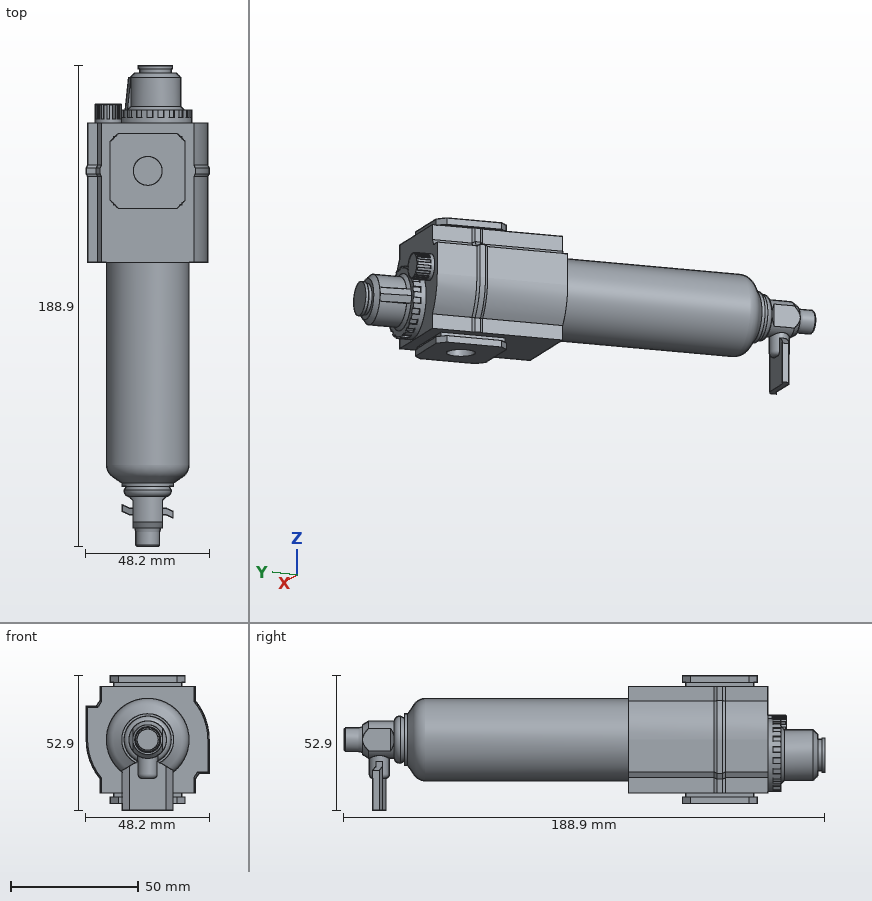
import cadquery as cq
import math


HOUSING_BACK = 18.9
HOUSING_FRONT = -35.9
CORE_HALF_WIDTH = 18.1
CORE_HALF_HEIGHT = 21.0
WING_REACH = 23.6
WING_EDGE = 12.7
WING_SLOPE_WIDTH = 1.5
WING_SLOPE_HEIGHT = 2.3

RIB_HEIGHT = 0.5
RIB_BASE_HALF_WIDTH = 2.3
RIB_TOP_HALF_WIDTH = 1.1

FLANGE_SIDE = 29.5
FLANGE_CORNER = 3.2
FLANGE_FACE = 25.1
FLANGE_THICKNESS = 2.6
FLANGE_NECK_SIDE = 26.8
PORT_RADIUS = 5.7
PORT_DEPTH = 15.1

BOWL_RADIUS = 16.2
BOWL_SHOULDER = -115.6
BOWL_ROUND_MIDDLE = (15.5, -118.2)
BOWL_ROUND_END = -120.3
BOWL_ROUND_END_RADIUS = 13.5
COLLAR_RADIUS = 10.2
COLLAR_BACK = -122.5
COLLAR_FRONT = -123.9
RING_EDGE_RADIUS = 8.5
RING_RADIUS = 9.3
RING_MIDDLE = -125.5
RING_ROUND = (8.9, -127.0)
RING_FRONT = -127.9
VALVE_RADIUS = 7.4
VALVE_FLAT_HALF_WIDTH = 5.9
VALVE_FRONT = -140.3
VALVE_CHAMFER = 1.5
VALVE_CHAMFER_LENGTH = 2.5
NOZZLE_ROOT_RADIUS = 5.1
NOZZLE_RADIUS = 4.7
NOZZLE_ROOT_LENGTH = 1.5
NOZZLE_TIP = -147.5
NOZZLE_CHAMFER = 0.5

LEVER_Y = -133.7
LEVER_BOTTOM = -27.8
LEVER_HALF_WIDTH = 10.0
LEVER_BEND = 7.2
LEVER_OFFSET = 1.3
LEVER_THICKNESS = 2.6
LEVER_SHOULDER = -12.0
LEVER_TOP = -8.5
PIN_RADIUS = 4.0
PIN_BOTTOM = -15.3
PIN_ROUNDING = 1.7
PIN_TOP = -2.8

DOME_X = 3.0
DOME_Z = -6.0
DOME_BASE_RADIUS = 14.4
KNURL_BACK = 24.0
KNURL_FRONT = 21.0
DOME_FLARE_RADIUS = 11.3
DOME_FLARE_END = 25.3
DOME_RADIUS = 10.0
DOME_SHOULDER = 36.6
DOME_END = 38.5
DOME_END_RADIUS = 8.1
CAP_NECK_RADIUS = 6.2
CAP_FRONT = 40.0
CAP_RADIUS = 6.8
DOME_TIP = 41.4
DOME_NOTCHES = 20
DOME_NOTCH_WIDTH = 2.3
DOME_NOTCH_DEPTH = 0.8
POINTER_HALF_WIDTH = 2.8
POINTER_RIDGE = 1.0
POINTER_ROOT = 11.9
POINTER_END = 10.5

PLUG_X = -15.5
PLUG_Z = 4.3
PLUG_RADIUS = 5.3
PLUG_BACK = 26.3
PLUG_CHAMFER = 0.4
PLUG_KNURL_FRONT = 20.4
PLUG_NOTCHES = 14
PLUG_NOTCH_WIDTH = 1.1
PLUG_NOTCH_DEPTH = 0.4


def housing_outline(y, offset=0.0):
    """Cross-section wire of the housing at y, with its sides moved out by offset."""
    core = CORE_HALF_WIDTH + offset
    reach = WING_REACH + offset
    edge = WING_EDGE + offset
    arc_end_z = math.sqrt(reach**2 - core**2)
    middle_angle = math.atan2(arc_end_z, core) / 2
    middle_x = reach * math.cos(middle_angle)
    middle_z = reach * math.sin(middle_angle)
    return (
        cq.Workplane("XZ", origin=(0, y, 0))
        .moveTo(core, CORE_HALF_HEIGHT)
        .lineTo(core, arc_end_z)
        .threePointArc((middle_x, middle_z), (reach, 0))
        .lineTo(reach, -edge)
        .lineTo(core + WING_SLOPE_WIDTH, -edge)
        .lineTo(core, -edge - WING_SLOPE_HEIGHT)
        .lineTo(core, -CORE_HALF_HEIGHT)
        .lineTo(-core, -CORE_HALF_HEIGHT)
        .lineTo(-core, -arc_end_z)
        .threePointArc((-middle_x, -middle_z), (-reach, 0))
        .lineTo(-reach, edge)
        .lineTo(-core - WING_SLOPE_WIDTH, edge)
        .lineTo(-core, edge + WING_SLOPE_HEIGHT)
        .lineTo(-core, CORE_HALF_HEIGHT)
        .close()
    )


def make_rib():
    """Tapered rib that follows the sides of the housing, centred on the port axis."""
    sections = [
        housing_outline(RIB_BASE_HALF_WIDTH).val(),
        housing_outline(RIB_TOP_HALF_WIDTH, RIB_HEIGHT).val(),
        housing_outline(-RIB_TOP_HALF_WIDTH, RIB_HEIGHT).val(),
        housing_outline(-RIB_BASE_HALF_WIDTH).val(),
    ]
    return cq.Workplane(cq.Solid.makeLoft(sections, True))


def make_flange():
    """Square port flange on a slightly smaller neck, on top of the housing."""
    plate_bottom = FLANGE_FACE - FLANGE_THICKNESS
    plate = (
        cq.Workplane("XY", origin=(0, 0, plate_bottom))
        .rect(FLANGE_SIDE, FLANGE_SIDE)
        .extrude(FLANGE_THICKNESS)
        .edges("|Z")
        .chamfer(FLANGE_CORNER)
    )
    neck = (
        cq.Workplane("XY", origin=(0, 0, CORE_HALF_HEIGHT))
        .rect(FLANGE_NECK_SIDE, FLANGE_NECK_SIDE)
        .extrude(plate_bottom - CORE_HALF_HEIGHT)
    )
    return plate.union(neck)


def make_housing():
    body = housing_outline(HOUSING_BACK).extrude(HOUSING_BACK - HOUSING_FRONT)
    body = body.union(make_rib())
    flange = make_flange()
    port = (
        cq.Workplane("XY", origin=(0, 0, FLANGE_FACE - PORT_DEPTH))
        .circle(PORT_RADIUS)
        .extrude(PORT_DEPTH)
    )
    for turn in (0, 180):
        body = body.union(flange.rotate((0, 0, 0), (0, 1, 0), turn))
        body = body.cut(port.rotate((0, 0, 0), (0, 1, 0), turn))
    return body


def make_lever_pin():
    return (
        cq.Workplane("XY", origin=(0, LEVER_Y, PIN_BOTTOM))
        .circle(PIN_RADIUS)
        .extrude(PIN_TOP - PIN_BOTTOM)
    )


def make_bowl():
    """Bowl with the drain valve and nozzle on its end, bored for the lever's pin."""
    body = (
        cq.Workplane("XY")
        .moveTo(0, HOUSING_FRONT)
        .lineTo(BOWL_RADIUS, HOUSING_FRONT)
        .lineTo(BOWL_RADIUS, BOWL_SHOULDER)
        .threePointArc(BOWL_ROUND_MIDDLE, (BOWL_ROUND_END_RADIUS, BOWL_ROUND_END))
        .lineTo(COLLAR_RADIUS, COLLAR_BACK)
        .lineTo(COLLAR_RADIUS, COLLAR_FRONT)
        .lineTo(RING_EDGE_RADIUS, COLLAR_FRONT)
        .lineTo(RING_RADIUS, RING_MIDDLE)
        .threePointArc(RING_ROUND, (VALVE_RADIUS, RING_FRONT))
        .lineTo(VALVE_RADIUS, VALVE_FRONT + VALVE_CHAMFER_LENGTH)
        .lineTo(VALVE_RADIUS - VALVE_CHAMFER, VALVE_FRONT)
        .lineTo(NOZZLE_ROOT_RADIUS, VALVE_FRONT)
        .lineTo(NOZZLE_RADIUS, VALVE_FRONT - NOZZLE_ROOT_LENGTH)
        .lineTo(NOZZLE_RADIUS, NOZZLE_TIP + NOZZLE_CHAMFER)
        .lineTo(NOZZLE_RADIUS - NOZZLE_CHAMFER, NOZZLE_TIP)
        .lineTo(0, NOZZLE_TIP)
        .close()
        .revolve(360, (0, 0, 0), (0, 1, 0))
    )
    flat_cut = (
        cq.Workplane("XY")
        .polyline([
            (VALVE_RADIUS, RING_FRONT),
            (VALVE_FLAT_HALF_WIDTH, RING_FRONT - (VALVE_RADIUS - VALVE_FLAT_HALF_WIDTH)),
            (VALVE_FLAT_HALF_WIDTH, VALVE_FRONT),
            (VALVE_RADIUS, VALVE_FRONT),
        ])
        .close()
        .extrude(VALVE_RADIUS, both=True)
    )
    for turn in (0, 180):
        body = body.cut(flat_cut.rotate((0, 0, 0), (0, 1, 0), turn))
    return body.cut(make_lever_pin())


def make_lever():
    """Plate with both sides bent, one to the back and one to the front, on a round pin."""
    half = LEVER_THICKNESS / 2
    plate = (
        cq.Workplane("XY", origin=(0, LEVER_Y, LEVER_BOTTOM))
        .polyline([
            (-LEVER_HALF_WIDTH, LEVER_OFFSET + half),
            (-LEVER_BEND, half),
            (LEVER_BEND, half),
            (LEVER_HALF_WIDTH, half - LEVER_OFFSET),
            (LEVER_HALF_WIDTH, -half - LEVER_OFFSET),
            (LEVER_BEND, -half),
            (-LEVER_BEND, -half),
            (-LEVER_HALF_WIDTH, LEVER_OFFSET - half),
        ])
        .close()
        .extrude(LEVER_TOP - LEVER_BOTTOM)
    )
    face_outline = (
        cq.Workplane("XZ", origin=(0, LEVER_Y, 0))
        .polyline([
            (-LEVER_HALF_WIDTH, LEVER_BOTTOM),
            (LEVER_HALF_WIDTH, LEVER_BOTTOM),
            (LEVER_HALF_WIDTH, LEVER_SHOULDER),
            (PIN_RADIUS, LEVER_TOP),
            (-PIN_RADIUS, LEVER_TOP),
            (-LEVER_HALF_WIDTH, LEVER_SHOULDER),
        ])
        .close()
        .extrude(LEVER_THICKNESS + LEVER_OFFSET, both=True)
    )
    pin = make_lever_pin().faces("<Z").edges().fillet(PIN_ROUNDING)
    return plate.intersect(face_outline).union(pin)


def cut_knurl(body, radius, count, width, depth, front, back):
    """Cut count notches into the rim of a body of revolution about the Y axis."""
    notch = (
        cq.Workplane("XZ", origin=(radius, back, 0))
        .rect(2 * depth, width)
        .extrude(back - front)
    )
    for i in range(count):
        angle = (i + 0.5) * 360 / count
        body = body.cut(notch.rotate((0, 0, 0), (0, 1, 0), angle))
    return body


def pointer_section(y, reach):
    """Section of the pointer: a ridge standing out of the dome on its -X side."""
    root = DOME_RADIUS / 2
    side = reach - POINTER_RIDGE
    return (
        cq.Workplane("XZ", origin=(0, y, 0))
        .polyline([
            (-root, -POINTER_HALF_WIDTH),
            (-side, -POINTER_HALF_WIDTH),
            (-reach, 0),
            (-side, POINTER_HALF_WIDTH),
            (-root, POINTER_HALF_WIDTH),
        ])
        .close()
        .val()
    )


def make_dome():
    """Dome with a knurled base ring, a grooved cap and a pointer."""
    body = (
        cq.Workplane("XY")
        .polyline([
            (0, HOUSING_BACK),
            (DOME_BASE_RADIUS, HOUSING_BACK),
            (DOME_BASE_RADIUS, KNURL_BACK),
            (DOME_FLARE_RADIUS, KNURL_BACK),
            (DOME_RADIUS, DOME_FLARE_END),
            (DOME_RADIUS, DOME_SHOULDER),
            (DOME_END_RADIUS, DOME_END),
            (CAP_NECK_RADIUS, DOME_END),
            (CAP_NECK_RADIUS, CAP_FRONT),
            (CAP_RADIUS, CAP_FRONT),
            (CAP_RADIUS, DOME_TIP),
            (0, DOME_TIP),
        ])
        .close()
        .revolve(360, (0, 0, 0), (0, 1, 0))
    )
    body = cut_knurl(
        body, DOME_BASE_RADIUS, DOME_NOTCHES, DOME_NOTCH_WIDTH, DOME_NOTCH_DEPTH, KNURL_FRONT, KNURL_BACK
    )
    pointer = cq.Solid.makeLoft(
        [pointer_section(KNURL_BACK, POINTER_ROOT), pointer_section(DOME_SHOULDER, POINTER_END)], True
    )
    return body.union(cq.Workplane(pointer)).translate((DOME_X, 0, DOME_Z))


def make_plug():
    """Knurled filler plug."""
    body = (
        cq.Workplane("XZ", origin=(0, PLUG_BACK, 0))
        .circle(PLUG_RADIUS)
        .extrude(PLUG_BACK - HOUSING_BACK)
        .faces(">Y")
        .chamfer(PLUG_CHAMFER)
    )
    body = cut_knurl(
        body, PLUG_RADIUS, PLUG_NOTCHES, PLUG_NOTCH_WIDTH, PLUG_NOTCH_DEPTH, PLUG_KNURL_FRONT, PLUG_BACK
    )
    return body.translate((PLUG_X, 0, PLUG_Z))


housing = make_housing()
bowl = make_bowl()
lever = make_lever()
dome = make_dome()
plug = make_plug()

bodies = [housing, bowl, lever, dome, plug]
result = cq.Compound.makeCompound([body.solids().val() for body in bodies])